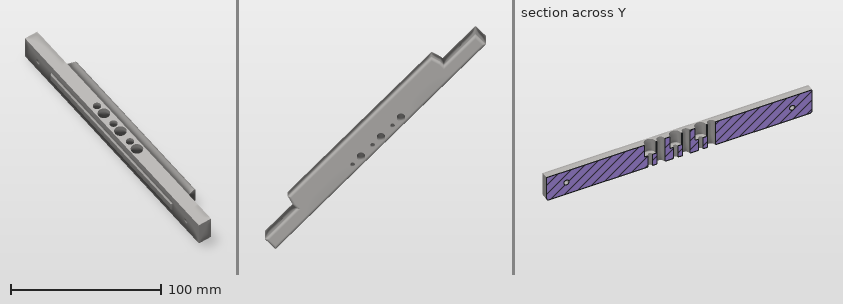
import cadquery as cq
import math

bar_length = 200.0
bar_depth = 10.0
bar_height = 20.0

block_length = 140.0
block_depth = 10.0
block_height = 13.5
block_straight_depth = 3.0
block_taper_angle = 15.0
block_top_radius = 2.0

bottom_radius = 2.0

ridge_length = 140.0
ridge_height = 7.2
ridge_depth = 1.0
ridge_bevel = 1.0

end_hole_diameter = 3.5
end_hole_inset = 15.0

pair_count = 3
pair_pitch = 19.0
pair_offset = 8.0
first_plain_hole_x = -24.2
plain_hole_diameter = 5.5
screw_hole_diameter = 3.0
counterbore_diameter = 8.5
counterbore_depth = 10.0

back_y = bar_depth + block_depth
mid_z = bar_height / 2


def make_bar():
    return cq.Workplane("XY").box(bar_length, bar_depth, bar_height, centered=(True, False, False))


def make_block():
    half_base = block_length / 2
    taper_y = bar_depth + block_straight_depth
    taper_run = (back_y - taper_y) * math.tan(math.radians(block_taper_angle))
    half_back = half_base - taper_run
    plan = [
        (-half_base, 0),
        (half_base, 0),
        (half_base, taper_y),
        (half_back, back_y),
        (-half_back, back_y),
        (-half_base, taper_y),
    ]
    return cq.Workplane("XY").polyline(plan).close().extrude(block_height)


def make_ridge():
    """Ridge whose four sides slope in at 45 degrees from the front face of the bar."""
    return (
        cq.Workplane("XZ", origin=(0, 0, mid_z))
        .rect(ridge_length, ridge_height)
        .workplane(offset=ridge_depth)
        .rect(ridge_length - 2 * ridge_bevel, ridge_height - 2 * ridge_bevel)
        .loft(ruled=True)
    )


def drill_end_holes(body):
    hole_x = bar_length / 2 - end_hole_inset
    drills = (
        cq.Workplane("XZ", origin=(0, 0, mid_z))
        .pushPoints([(-hole_x, 0), (hole_x, 0)])
        .circle(end_hole_diameter / 2)
        .extrude(-bar_depth)
    )
    return body.cut(drills)


def drill_hole_pairs(body):
    top = cq.Workplane("XY", origin=(0, bar_depth / 2, bar_height))
    plain_holes = [(first_plain_hole_x + i * pair_pitch, 0) for i in range(pair_count)]
    screw_holes = [(x + pair_offset, y) for x, y in plain_holes]
    body = body.cut(top.pushPoints(plain_holes).circle(plain_hole_diameter / 2).extrude(-bar_height))
    body = body.cut(top.pushPoints(screw_holes).circle(screw_hole_diameter / 2).extrude(-bar_height))
    return body.cut(top.pushPoints(screw_holes).circle(counterbore_diameter / 2).extrude(-counterbore_depth))


body = make_bar().union(make_block())
body = body.faces("<Z").edges().fillet(bottom_radius)
body = body.faces(">Y").edges(">Z").fillet(block_top_radius)
body = body.union(make_ridge())
body = drill_end_holes(body)
result = drill_hole_pairs(body)